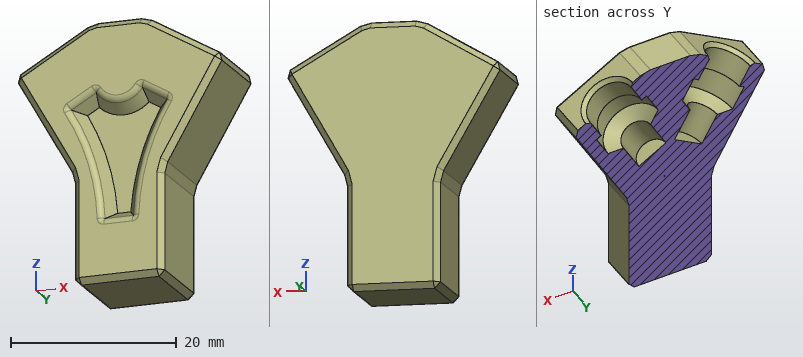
import cadquery as cq
import math

overall_width = 26.2
overall_height = 32.86
thickness = 11.5
chamfer_size = 0.75
arm_tilt = math.radians(30)

pocket_depth = 2.15
pocket_draft = 32
rim_radius = 1.0
throat_bottom_z = 8.0
throat_bottom_half_width = 1.83
throat_shoulder_x = 6.15
throat_shoulder_z = 22.2
throat_side_radius = 29
throat_peak_x = 2.96
scallop_bottom_z = 22.46
throat_clearance = 0.01
throat_depth = rim_radius * (1 - math.sin(math.radians(pocket_draft))) + throat_clearance

mouth_chamfer = 0.5
neck_diameter = 6.5
neck_end_depth = 3.5
chamber_diameter = 8.0
chamber_end_depth = 6.66
cone_half_angle = math.radians(60)
bore_diameter = 4.3
bore_end_depth = 12.0

face_run = thickness * math.cos(arm_tilt)
face_drop = thickness * math.sin(arm_tilt)
stem_half_width = thickness / 2
shoulder_x = overall_width / 2 + chamfer_size * math.sin(arm_tilt)
shoulder_z = overall_height - face_drop
top_half_width = shoulder_x - face_run
stem_top_z = shoulder_z - (shoulder_x - stem_half_width) / math.tan(arm_tilt)


def make_body():
    """Fan-shaped head on a square stem, with every edge chamfered."""
    right_side = [
        (stem_half_width, 0),
        (stem_half_width, stem_top_z),
        (shoulder_x, shoulder_z),
        (top_half_width, overall_height),
    ]
    left_side = [(-x, z) for x, z in reversed(right_side)]
    body = (
        cq.Workplane("XZ")
        .polyline(right_side + left_side)
        .close()
        .extrude(thickness / 2, both=True)
    )
    return body.edges().chamfer(chamfer_size)


def draw_throat():
    """Sharp-cornered pocket outline at the throat depth."""
    peak_z = throat_shoulder_z + (throat_shoulder_x - throat_peak_x) * math.tan(arm_tilt)
    return (
        cq.Workplane("XZ", origin=(0, throat_depth - thickness / 2, 0))
        .moveTo(-throat_bottom_half_width, throat_bottom_z)
        .lineTo(throat_bottom_half_width, throat_bottom_z)
        .radiusArc((throat_shoulder_x, throat_shoulder_z), throat_side_radius)
        .lineTo(throat_peak_x, peak_z)
        .threePointArc((0, scallop_bottom_z), (-throat_peak_x, peak_z))
        .lineTo(-throat_shoulder_x, throat_shoulder_z)
        .radiusArc((-throat_bottom_half_width, throat_bottom_z), throat_side_radius)
        .close()
    )


def make_socket(side):
    """Stepped socket tool, square to the sloping face on the given side (-1 or 1)."""
    neck = neck_diameter / 2
    chamber = chamber_diameter / 2
    bore = bore_diameter / 2
    cone_end_depth = chamber_end_depth + (chamber - bore) / math.tan(cone_half_angle)
    profile = [
        (0, 0),
        (neck + mouth_chamfer, 0),
        (neck, -mouth_chamfer),
        (neck, -neck_end_depth),
        (chamber, -neck_end_depth),
        (chamber, -chamber_end_depth),
        (bore, -cone_end_depth),
        (bore, -bore_end_depth),
        (0, -bore_end_depth),
    ]
    face_center_x = shoulder_x - face_run / 2
    face_center_z = shoulder_z + face_drop / 2
    return (
        cq.Workplane("XZ")
        .polyline(profile)
        .close()
        .revolve(axisStart=(0, 0, 0), axisEnd=(0, 1, 0))
        .rotate((0, 0, 0), (0, 1, 0), side * math.degrees(arm_tilt))
        .translate((side * face_center_x, 0, face_center_z))
    )


def cut_pocket(body):
    """Cut the pocket and round its rim.

    The wall narrows with mitred corners below the throat and widens with
    rounded corners above it, so the rim can be rounded along its whole length.
    """
    below_throat = draw_throat().extrude(throat_depth - pocket_depth, taper=pocket_draft)
    above_throat = draw_throat().extrude(throat_depth, taper=-pocket_draft)
    body = body.cut(below_throat).cut(above_throat)
    front_face = body.faces("<Y").val()
    rim = front_face.innerWires()[0]
    return body.newObject(rim.Edges()).fillet(rim_radius)


result = cut_pocket(make_body())
for side in (-1, 1):
    result = result.cut(make_socket(side))